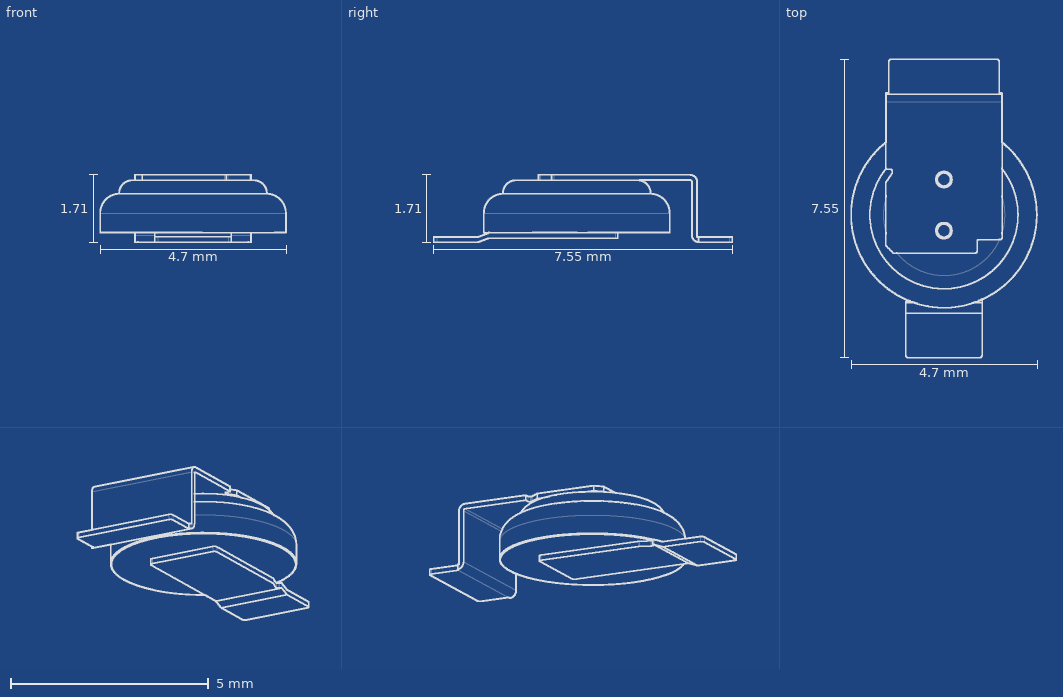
import cadquery as cq
import math

sheet = 0.135
cell_bottom = 0.235
cell_top = 1.57
lid_top = cell_top + sheet

can_radius = 2.352
can_top = 1.23
can_fillet = 0.5
cap_radius = 1.87
cap_fillet = 0.34
rim_round = 0.02

lid_width = 2.94
lid_front = -0.97
leg_back = 3.04
rear_foot_end = 3.93
rear_foot_width = 2.8
bend_inner = 0.045
bend_outer = bend_inner + sheet
foot_start = leg_back + bend_inner
corner_round = 0.045
end_round = 0.075
shoulder_round = 0.04

front_chamfer = 0.19
side_notch_depth = 0.165
side_notch_square_end = 1.15
side_notch_slope_end = 0.815
side_notch_flat = 0.09
notch_round = 0.05
corner_cut_x = 0.84
corner_cut_y = -0.63

dimple_places = (0.89, -0.4)
dimple_radius = 0.205
dimple_floor_radius = 0.165
dimple_depth = 0.045

tab_width = 1.94
tab_back = 1.04
overall_length = 7.55
tab_end = rear_foot_end - overall_length
slope_start = -2.23
slope_end = -2.49
tab_notch_depth = 0.105
tab_notch_square_end = -2.18
tab_notch_slope_end = -1.81
tab_notch_flat = 0.075


def box_between(x0, x1, y0, y1, z0, z1):
    """Axis-aligned block between two opposite corners."""
    return cq.Workplane("XY").box(x1 - x0, y1 - y0, z1 - z0, centered=False).translate((x0, y0, z0))


def extrude_across(profile, width):
    """Extrude a YZ profile symmetrically about X = 0."""
    return profile.close().extrude(width / 2, both=True)


def make_cell():
    can = cq.Workplane("XY").workplane(offset=cell_bottom).circle(can_radius).extrude(can_top - cell_bottom)
    can = can.faces(">Z").edges().fillet(can_fillet)
    can = can.faces("<Z").edges().fillet(rim_round)
    cap = cq.Workplane("XY").workplane(offset=cell_bottom).circle(cap_radius).extrude(cell_top - cell_bottom)
    return can.union(cap.faces(">Z").edges().fillet(cap_fillet))


def make_upper_terminal():
    leg_front = leg_back - sheet
    profile = (
        cq.Workplane("YZ")
        .moveTo(lid_front, lid_top)
        .lineTo(leg_back - bend_outer, lid_top)
        .radiusArc((leg_back, lid_top - bend_outer), bend_outer)
        .lineTo(leg_back, sheet)
        .lineTo(rear_foot_end, sheet)
        .lineTo(rear_foot_end, 0)
        .lineTo(foot_start, 0)
        .radiusArc((leg_front, bend_outer), bend_outer)
        .lineTo(leg_front, lid_top - bend_outer)
        .radiusArc((leg_front - bend_inner, cell_top), -bend_inner)
        .lineTo(lid_front, cell_top)
    )
    terminal = extrude_across(profile, lid_width)

    half_lid = lid_width / 2
    half_foot = rear_foot_width / 2
    for x0, x1 in ((-half_lid, -half_foot), (half_foot, half_lid)):
        terminal = terminal.cut(box_between(x0, x1, foot_start, rear_foot_end, 0, sheet))
    terminal = terminal.faces(">Y").edges("|Z").fillet(end_round)
    for side in (">X", "<X"):
        shoulder = terminal.faces(side).edges("|Z").edges(">Y")
        terminal = shoulder.fillet(shoulder_round)

    terminal = terminal.cut(box_between(corner_cut_x, half_lid, lid_front, corner_cut_y, cell_top, lid_top))
    margin = 0.075
    step_region = cq.selectors.BoxSelector(
        (corner_cut_x - margin, lid_front - margin, cell_top - margin),
        (half_lid + margin, corner_cut_y + margin, lid_top + margin),
    )
    terminal = terminal.edges(step_region).edges("|Z").fillet(corner_round)

    terminal = terminal.edges("|Z").edges("<Y").edges("<X").chamfer(front_chamfer)

    notch = side_notch(
        half_lid, side_notch_depth, side_notch_square_end, side_notch_slope_end, side_notch_flat, cell_top
    )
    terminal = terminal.cut(notch)
    for y in dimple_places:
        terminal = terminal.cut(make_dimple(y))
    return terminal


def side_notch(half_width, depth, square_end, slope_end, flat, bottom):
    """Notch in the left edge of a sheet: square at one end in Y, sloping out to the other."""
    flat_end = square_end + math.copysign(flat, slope_end - square_end)
    notch = (
        cq.Workplane("XY", origin=(0, 0, bottom))
        .moveTo(-half_width, square_end)
        .lineTo(-half_width + depth, square_end)
        .lineTo(-half_width + depth, flat_end)
        .lineTo(-half_width, slope_end)
        .close()
        .extrude(sheet)
    )
    return notch.edges("|Z and >X").fillet(notch_round)


def make_dimple(y):
    """Tapered weld dimple pressed into the lid."""
    return (
        cq.Workplane("XY")
        .workplane(offset=lid_top)
        .center(0, y)
        .circle(dimple_radius)
        .workplane(offset=-dimple_depth)
        .circle(dimple_floor_radius)
        .loft(ruled=True)
    )


def make_lower_terminal():
    profile = (
        cq.Workplane("YZ")
        .moveTo(tab_back, cell_bottom)
        .lineTo(slope_start, cell_bottom)
        .lineTo(slope_end, sheet)
        .lineTo(tab_end, sheet)
        .lineTo(tab_end, 0)
        .lineTo(slope_end, 0)
        .lineTo(slope_start, cell_bottom - sheet)
        .lineTo(tab_back, cell_bottom - sheet)
    )
    terminal = extrude_across(profile, tab_width)
    terminal = terminal.edges("|Z").edges("<Y or >Y").fillet(end_round)
    notch = side_notch(
        tab_width / 2, tab_notch_depth, tab_notch_square_end, tab_notch_slope_end, tab_notch_flat,
        cell_bottom - sheet,
    )
    terminal = terminal.cut(notch)

    margin = 0.01
    mouth_region = cq.selectors.BoxSelector(
        (-tab_width / 2 - margin, tab_notch_square_end - margin, 0),
        (-tab_width / 2 + margin, tab_notch_slope_end + margin, cell_bottom),
    )
    return terminal.edges(mouth_region).edges("|Z").fillet(corner_round)


result = make_cell().union(make_upper_terminal()).union(make_lower_terminal())